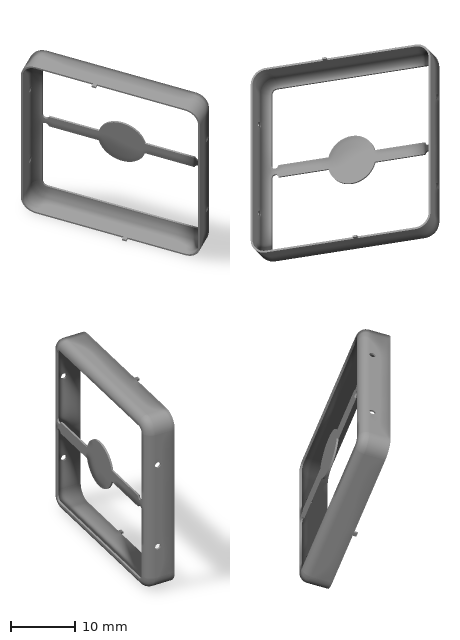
import cadquery as cq

width = 30.0
height = 31.2
rim_depth = 5.0
wall = 0.3
corner_radius = 2.5
back_radius = 1.5
lip_inset = 1.65

bar_height = 2.0
bar_thickness = wall
disc_diameter = 8.0
notch_radius = 0.55
notch_edge_gap = 0.05

hole_diameter = 1.0
hole_spacing = 14.98
hole_from_back = 2.0

tab_width = 0.7
tab_length = 0.6
tab_offset = 2.55

opening_half_width = width / 2 - lip_inset


def rounded_block(inset, depth):
    """Block from the front edge toward +Y, inset from the outer outline."""
    block = cq.Workplane("XY").box(width - 2 * inset, depth, height - 2 * inset)
    block = block.translate((0, depth / 2, 0))
    return block.edges("|Y").fillet(corner_radius - inset)


def make_frame():
    outer = rounded_block(0, rim_depth).faces(">Y").edges().fillet(back_radius)
    cavity = rounded_block(wall, rim_depth - wall).faces(">Y").edges().fillet(back_radius - wall)
    opening = rounded_block(lip_inset, rim_depth)
    return outer.cut(cavity).cut(opening)


def back_plane():
    """Sketch plane on the back; positive extrusion runs toward -Y."""
    return cq.Workplane("XZ", origin=(0, rim_depth, 0))


def make_crossbar():
    lip_overlap = lip_inset - back_radius
    bar_length = 2 * (opening_half_width + lip_overlap)
    bar = back_plane().rect(bar_length, bar_height).extrude(bar_thickness)
    disc = back_plane().circle(disc_diameter / 2).extrude(bar_thickness)
    notch_x = opening_half_width - notch_radius
    notch_z = bar_height / 2 + notch_edge_gap
    notches = (
        back_plane()
        .rect(2 * notch_x, 2 * notch_z, forConstruction=True)
        .vertices()
        .circle(notch_radius)
        .extrude(bar_thickness)
    )
    return bar.cut(notches).union(disc)


def make_side_holes():
    hole_y = rim_depth - hole_from_back
    return (
        cq.Workplane("YZ")
        .pushPoints([(hole_y, -hole_spacing / 2), (hole_y, hole_spacing / 2)])
        .circle(hole_diameter / 2)
        .extrude(width / 2, both=True)
    )


def make_tab(side):
    """Tab on the top wall (side = 1) or the bottom wall (side = -1)."""
    tab = cq.Workplane("XY").box(tab_width, tab_length + wall, wall)
    return tab.translate((-side * tab_offset, (wall - tab_length) / 2, side * (height - wall) / 2))


result = make_frame().union(make_crossbar()).cut(make_side_holes())
for side in (1, -1):
    result = result.union(make_tab(side))